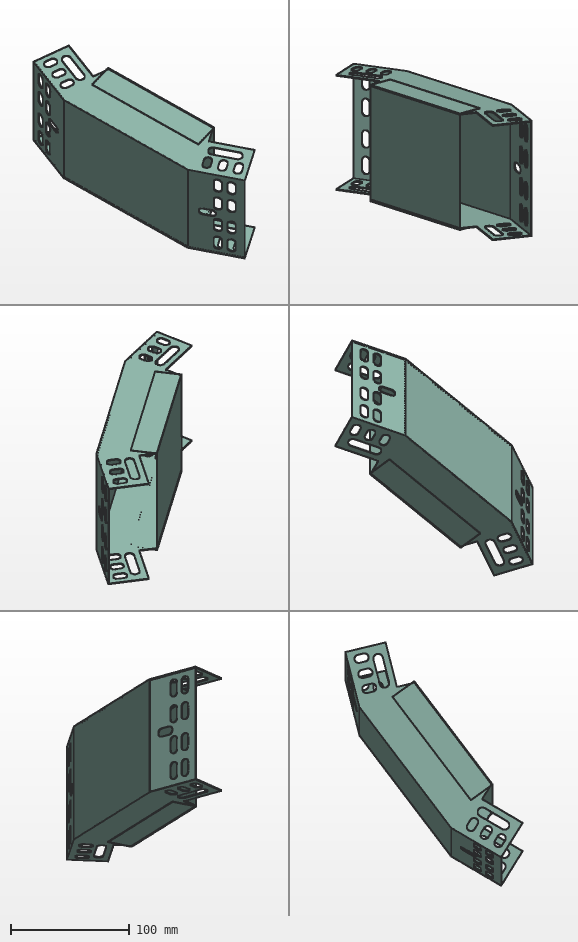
import cadquery as cq
import math

tray_length = 221.8
tray_width = 102.0
tray_sheet = 1.0
bend_angle = 22.5
middle_length = 130.5
wing_wall_height = 35.0
wing_wall_length = 40.0

cover_length = 111.5
cover_sheet = 0.6
cover_back = 50.5
cover_flange_height = 22.8

floor_slot_columns = [11.5, 23.5]
floor_slot_rows = [-37.3, -14.0, 14.0, 37.3]
floor_slot_length = 15.5
floor_slot_width = 7.0
center_slot_position = 32.5
center_slot_length = 15.0
center_slot_width = 7.5
wall_slot_first = 8.5
wall_slot_pitch = 13.5
wall_slot_count = 3
wall_slot_height = 12.0
wall_slot_length = 12.0
wall_slot_width = 7.0
long_slot_position = 23.0
long_slot_height = 25.5
long_slot_length = 30.0
long_slot_width = 8.0

cut_margin = 2.2

half_length = tray_length / 2
half_middle = middle_length / 2
bend_sin = math.sin(math.radians(bend_angle))
bend_cos = math.cos(math.radians(bend_angle))
bend_tan = bend_sin / bend_cos
corner_rise = (half_length - half_middle) * bend_tan
middle_wall_height = cover_back - cover_sheet
cover_width = tray_width + 2 * cover_sheet


def wing_point(along, height):
    """XY of a point on the -X end: distance inward along its floor, height above its outer face."""
    x = -half_length + along * bend_cos + height * bend_sin
    y = corner_rise - along * bend_sin + height * bend_cos
    return (x, y)


def mirrored_prism(left_points, width):
    """Extrude an outline, given by its -X half, symmetrically about Z = 0."""
    right_points = [(-x, y) for x, y in reversed(left_points)]
    outline = cq.Workplane("XY").polyline(left_points + right_points).close()
    return outline.extrude(width / 2, both=True)


def place_on_wing(cutter):
    """Move a cutter from wing coordinates (along, height, Z) onto the -X end."""
    turned = cutter.rotate((0, 0, 0), (0, 0, 1), -bend_angle)
    return turned.translate((-half_length, corner_rise, 0))


def tray_blank():
    notch_x, notch_y = wing_point(wing_wall_length, wing_wall_height)
    wall_top_x = notch_x + (middle_wall_height - notch_y) * bend_tan
    outer = [
        (-half_middle, 0),
        wing_point(0, 0),
        wing_point(0, wing_wall_height),
        (notch_x, notch_y),
        (wall_top_x, middle_wall_height),
    ]
    inner_bend_x = -half_middle + tray_sheet * math.tan(math.radians(bend_angle / 2))
    cavity = [
        (inner_bend_x, tray_sheet),
        wing_point(-cut_margin, tray_sheet),
        wing_point(-cut_margin, wing_wall_height + cut_margin),
        (-half_middle, cover_back + cut_margin),
    ]
    inner_width = tray_width - 2 * tray_sheet
    return mirrored_prism(outer, tray_width).cut(mirrored_prism(cavity, inner_width))


def floor_slots():
    """Slots through the floor of a bent end."""
    depth = tray_sheet + cut_margin
    rows = [(column, row) for column in floor_slot_columns for row in floor_slot_rows]
    plane = cq.Plane(origin=(0, 0, 0), xDir=(1, 0, 0), normal=(0, -1, 0))
    upright = cq.Workplane(plane).pushPoints(rows).slot2D(floor_slot_length, floor_slot_width, 90)
    center = cq.Workplane(plane).center(center_slot_position, 0)
    center = center.slot2D(center_slot_length, center_slot_width)
    return [upright.extrude(depth, both=True), center.extrude(depth, both=True)]


def wall_slots():
    """Slots through both side walls of a bent end."""
    reach = tray_width / 2 + cut_margin
    spots = [(wall_slot_first + i * wall_slot_pitch, wall_slot_height) for i in range(wall_slot_count)]
    short = cq.Workplane("XY").pushPoints(spots).slot2D(wall_slot_length, wall_slot_width, 90)
    long = cq.Workplane("XY").center(long_slot_position, long_slot_height)
    long = long.slot2D(long_slot_length, long_slot_width)
    return [short.extrude(reach, both=True), long.extrude(reach, both=True)]


def make_tray():
    tray = tray_blank()
    for slots in floor_slots() + wall_slots():
        left_slots = place_on_wing(slots)
        tray = tray.cut(left_slots).cut(left_slots.mirror("YZ"))
    return tray


def make_cover():
    center_y = cover_back - cover_flange_height / 2
    shell = cq.Workplane("XY").box(cover_length, cover_flange_height, cover_width)
    hollow = cq.Workplane("XY").box(cover_length, cover_flange_height, tray_width)
    return shell.cut(hollow.translate((0, -cover_sheet, 0))).translate((0, center_y, 0))


tray = make_tray()
cover = make_cover()

result = cq.Compound.makeCompound([tray.val(), cover.val()])